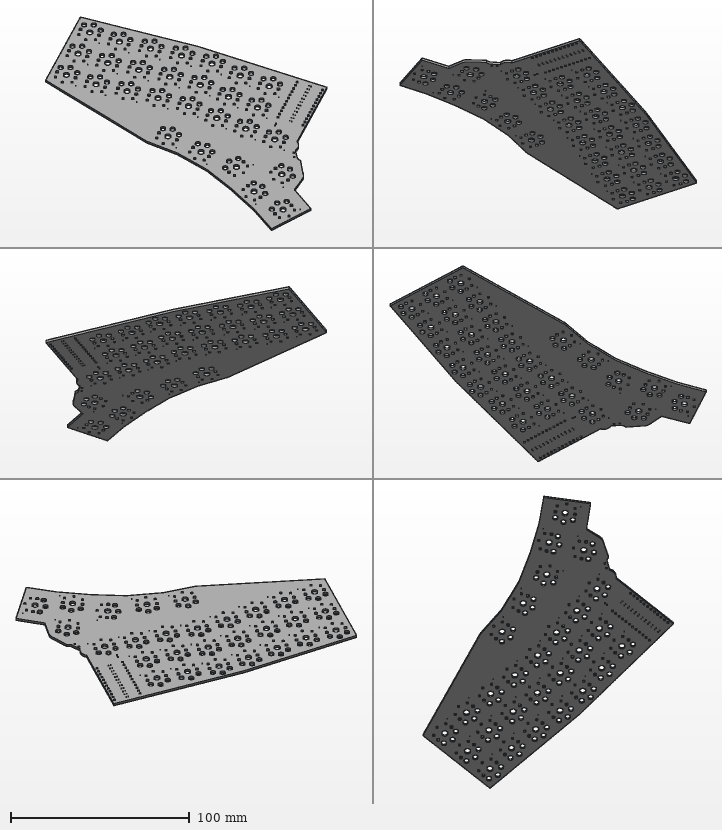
import cadquery as cq


length = 173.2
width = 108.0
thickness = 1.6

left_edge_bottom_y = 52.3
left_edge_top_y = 102.7
top_bend_x = 69.1
controller_side_x = 147.0
controller_side_bottom_y = 65.0

upper_bulge = [(149.1, 61.8), (148.5, 58.5)]
notch_start = (151.4, 54.5)
notch_floor = [(152.5, 53.2), (154.3, 52.6)]
thumb_shoulder = (158.8, 45.0)
thumb_corner = [(160.2, 42.6), (160.4, 40.5)]
outer_key_corner = (159.3, 31.5)
outer_tip_y = 22.2

lower_edge_corners = [
    (158.6, 0),
    (144.0, 9.5),
    (126.8, 18.5),
    (108.5, 26.3),
    (88.7, 31.2),
    (69.6, 32.5),
]

stem_hole_dia = 3.5
socket_hole_dia = 3.0
peg_hole_dia = 1.7
pin_hole_dia = 1.26
via_dia = 0.3
contact_y = 5.9
side_contact_x = 5.0
side_contact_y = 3.8
peg_x = 5.5
via_place = (8.0, -5.4)

first_key_x = 9.2
first_key_y = 60.5
column_field_length = 125.7
row_pitch = 17.0
row_count = 3
stagger_step = 1.0
column_stagger_steps = [0, 0, 2, 4, 5, 3, 2]
inner_key_column = 7
column_pitch = column_field_length / inner_key_column
inner_key_stagger_steps = 1

thumb_keys = [
    (79.0, 40.5, -4),
    (100.5, 37.0, -14),
    (123.0, 34.5, 66),
    (139.0, 21.6, -28),
    (148.4, 39.3, -28),
    (159.1, 15.5, 57),
]

header_dia = 1.1
jumper_via_dia = 0.4
pin_pitch = 2.55
pin_count = 12
lowest_pin_y = 77.2
left_header_x = 130.2
header_spacing = 15.2
jumper_x = 137.3
jumper_spacing = 1.3

lower_pads = [(131.1, 72.4), (131.1, 70.8)]
lower_pad_dia = 0.7
edge_pads = [(148.4, 56.5), (150.0, 53.7)]
edge_pad_dia = 0.9


def make_plate():
    """Flat board with a bent lower edge and a notched edge beside the thumb keys."""
    outline = (
        cq.Workplane("XY")
        .moveTo(0, left_edge_bottom_y)
        .lineTo(0, left_edge_top_y)
        .lineTo(top_bend_x, width)
        .lineTo(controller_side_x, width)
        .lineTo(controller_side_x, controller_side_bottom_y)
        .threePointArc(*upper_bulge)
        .lineTo(*notch_start)
        .threePointArc(*notch_floor)
        .lineTo(*thumb_shoulder)
        .threePointArc(*thumb_corner)
        .lineTo(*outer_key_corner)
        .lineTo(length, outer_tip_y)
    )
    for corner in lower_edge_corners:
        outline = outline.lineTo(*corner)
    return outline.close().extrude(thickness)


def drill(places, diameter):
    """Cutters for through holes of one diameter."""
    return [
        cq.Solid.makeCylinder(diameter / 2, thickness, cq.Vector(x, y, 0))
        for x, y in places
    ]


def key_footprint(x, y, turn):
    """Cutters for one key switch footprint centred on x, y."""
    sockets = [(0, contact_y), (side_contact_x, side_contact_y), (-side_contact_x, side_contact_y)]
    pins = [(px, -py) for px, py in sockets]
    cutters = (
        drill([(0, 0)], stem_hole_dia)
        + drill(sockets, socket_hole_dia)
        + drill([(peg_x, 0), (-peg_x, 0)], peg_hole_dia)
        + drill(pins, pin_hole_dia)
        + drill([via_place], via_dia)
    )
    location = cq.Location(cq.Vector(x, y, 0), cq.Vector(0, 0, 1), turn)
    return [cutter.moved(location) for cutter in cutters]


def finger_key_place(column, row, stagger):
    """Centre of a finger key."""
    x = first_key_x + column * column_pitch
    y = first_key_y + row * row_pitch + stagger * stagger_step
    return x, y


def finger_keys():
    cutters = []
    for column, stagger in enumerate(column_stagger_steps):
        for row in range(row_count):
            x, y = finger_key_place(column, row, stagger)
            cutters += key_footprint(x, y, 0)
    x, y = finger_key_place(inner_key_column, 0, inner_key_stagger_steps)
    return cutters + key_footprint(x, y, 0)


def thumb_cluster():
    cutters = []
    for x, y, turn in thumb_keys:
        cutters += key_footprint(x, y, turn)
    return cutters


def pin_row(x, diameter):
    """Cutters for one upright row of controller holes."""
    return drill([(x, lowest_pin_y + i * pin_pitch) for i in range(pin_count)], diameter)


def controller_holes():
    return (
        pin_row(left_header_x, header_dia)
        + pin_row(left_header_x + header_spacing, header_dia)
        + pin_row(jumper_x, jumper_via_dia)
        + pin_row(jumper_x + jumper_spacing, jumper_via_dia)
    )


holes = (
    finger_keys()
    + thumb_cluster()
    + controller_holes()
    + drill(lower_pads, lower_pad_dia)
    + drill(edge_pads, edge_pad_dia)
)
result = cq.Workplane("XY").newObject([make_plate().val().cut(*holes)])